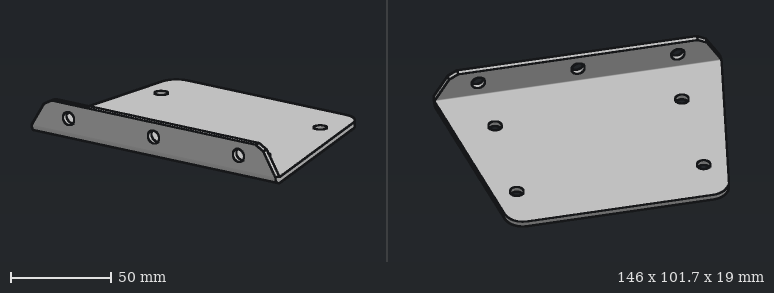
import cadquery as cq
import math

width = 146.0
depth = 101.7
height = 19.0

thickness = 3.2
inner_bend_radius = 0.7
outer_bend_radius = thickness + inner_bend_radius

side_taper_angle = 10.0
corner_radius = 10.0

flange_top_inset = 12.0
flange_shoulder_inset = 7.3
flange_shoulder_height = 16.4

hole_diameter = 6.7
hole_pitch = 50.8
flange_hole_height = 11.4
plate_hole_half_spacing = 47.6
plate_front_hole_distance = 27.5

half_width = width / 2


def bent_sheet():
    """L-shaped section with a rounded bend, extruded across the full width."""
    section = (
        cq.Workplane("YZ")
        .moveTo(depth, 0)
        .lineTo(outer_bend_radius, 0)
        .radiusArc((0, outer_bend_radius), outer_bend_radius)
        .lineTo(0, height)
        .lineTo(thickness, height)
        .lineTo(thickness, outer_bend_radius)
        .radiusArc((outer_bend_radius, thickness), -inner_bend_radius)
        .lineTo(depth, thickness)
        .close()
    )
    return section.extrude(half_width, both=True)


def plate_outline():
    """Plan shape: straight along the bend, then tapering to a rounded rear edge."""
    taper_length = depth - outer_bend_radius
    rear_half_width = half_width - taper_length * math.tan(math.radians(side_taper_angle))
    prism = (
        cq.Workplane("XY")
        .polyline([
            (-half_width, 0),
            (half_width, 0),
            (half_width, outer_bend_radius),
            (rear_half_width, depth),
            (-rear_half_width, depth),
            (-half_width, outer_bend_radius),
        ])
        .close()
        .extrude(height)
    )
    rear_corners = prism.faces(">Y").edges("|Z")
    return rear_corners.fillet(corner_radius)


def flange_outline():
    """Front shape: full width up to the bend, then two sloping cuts at each end."""
    top_half_width = half_width - flange_top_inset
    shoulder_half_width = half_width - flange_shoulder_inset
    return (
        cq.Workplane("XZ")
        .polyline([
            (-half_width, 0),
            (half_width, 0),
            (half_width, outer_bend_radius),
            (shoulder_half_width, flange_shoulder_height),
            (top_half_width, height),
            (-top_half_width, height),
            (-shoulder_half_width, flange_shoulder_height),
            (-half_width, outer_bend_radius),
        ])
        .close()
        .extrude(-depth)
    )


def plate_holes():
    rows = (plate_front_hole_distance, plate_front_hole_distance + hole_pitch)
    centres = [(side * plate_hole_half_spacing, y) for side in (-1, 1) for y in rows]
    return cq.Workplane("XY").pushPoints(centres).circle(hole_diameter / 2).extrude(thickness)


def flange_holes():
    centres = [(step * hole_pitch, flange_hole_height) for step in (-1, 0, 1)]
    return cq.Workplane("XZ").pushPoints(centres).circle(hole_diameter / 2).extrude(-thickness)


bracket = bent_sheet().intersect(plate_outline()).intersect(flange_outline())
result = bracket.cut(plate_holes()).cut(flange_holes())